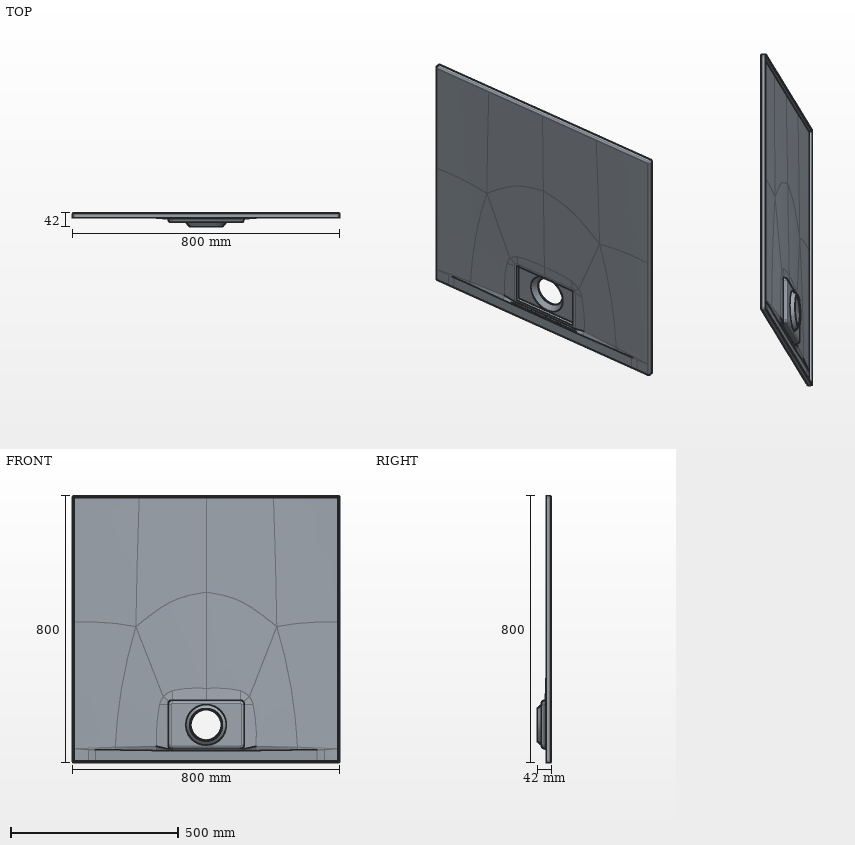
import cadquery as cq
import math


TRAY_SIZE = 800.0
RIM_DEPTH = 15.0
RIM_WIDTH = 6.0
RIM_LIP_WIDTH = 4.0
RIM_CORNER_RADIUS = 6.0
RIM_TOP_FILLET = 5.0
PAN_HALF = TRAY_SIZE / 2 - RIM_WIDTH

SHEET_THICKNESS = 6.0
EDGE_DEPTH = SHEET_THICKNESS
PAD_DEPTH = 15.5
SUMP_DEPTH = 18.0
CREASE_DEPTH = 10.5
BAND_DEPTH = 8.8
STEP_TOP_Z = -350.0
STEP_FOOT_Z = -361.0
PAD_STEP_FOOT_Z = -363.0
PAD_HALF_WIDTH = 149.0
CREASE_FOOT_X = 273.0
BAND_BEND_START_X = 332.0
BAND_BEND_END_X = 353.0

PLINTH_HALF_WIDTH = 114.0
PLINTH_TOP_Z = -212.0
PLINTH_BOTTOM_Z = -358.0
PLINTH_DEPTH = 29.0
PLINTH_CORNER_RADIUS = 12.0
PLINTH_DRAFT = 15.0
PLINTH_FILLET = 8.0
PLINTH_FLOOR = 6.0
WELL_INSET = 9.0

DRAIN_Z = -286.0
TOTAL_DEPTH = 42.0
DRAIN_TOP_RADIUS = 60.5
DRAIN_BOTTOM_RADIUS = 49.0
DRAIN_HOLE_RADIUS = 45.5
DRAIN_WALL = 6.0


def point(x, z, depth):
    """Point given by its place on the tray and its depth below the rim top."""
    return cq.Vector(x, -depth, z)


def band_point(x, z):
    """Point on the flat band, which falls from the bottom rim to the foot of the step."""
    share = (z + PAN_HALF) / (STEP_FOOT_Z + PAN_HALF)
    return point(x, z, EDGE_DEPTH + share * (BAND_DEPTH - EDGE_DEPTH))


def curve(*points):
    """Straight edge through two points, smooth spline through more."""
    if len(points) == 2:
        return cq.Edge.makeLine(*points)
    return cq.Edge.makeSpline(list(points))


def patch(*edges):
    """Smooth face stretched across a closed loop of edges."""
    return cq.Face.makeNSidedSurface(list(edges), [])


def underside_half():
    """Faces of the +X half of the pan underside, and the edges of its outer border."""
    top_mid = point(0, PAN_HALF, EDGE_DEPTH)
    top_quarter = point(201, PAN_HALF, EDGE_DEPTH)
    top_corner = point(PAN_HALF, PAN_HALF, EDGE_DEPTH)
    side = point(PAN_HALF, 22, EDGE_DEPTH)
    crown = point(0, 112, CREASE_DEPTH)
    junction = point(211, 9, 9.5)

    pad_top = point(0, -176, PAD_DEPTH)
    pad_shoulder = point(102, -183, PAD_DEPTH)
    pad_corner = point(129, -201, PAD_DEPTH)
    pad_side = point(140, -225, PAD_DEPTH)
    pad_foot = point(PAD_HALF_WIDTH, STEP_TOP_Z, PAD_DEPTH)
    bend = PLINTH_CORNER_RADIUS
    corner_inset = bend * (1 - 0.5**0.5)
    sump_top = point(0, PLINTH_TOP_Z, SUMP_DEPTH)
    sump_shoulder = point(PLINTH_HALF_WIDTH - bend, PLINTH_TOP_Z, SUMP_DEPTH)
    sump_corner = point(PLINTH_HALF_WIDTH - corner_inset, PLINTH_TOP_Z - corner_inset, SUMP_DEPTH)
    sump_side = point(PLINTH_HALF_WIDTH, PLINTH_TOP_Z - bend, SUMP_DEPTH)
    sump_foot = point(PLINTH_HALF_WIDTH, PLINTH_BOTTOM_Z, SUMP_DEPTH)
    sump_mid_foot = point(0, PLINTH_BOTTOM_Z, SUMP_DEPTH)

    step_quarter = point(CREASE_FOOT_X, -352, CREASE_DEPTH)
    step_end = point(PAN_HALF, -357, EDGE_DEPTH)
    foot_quarter = band_point(CREASE_FOOT_X, STEP_FOOT_Z)
    foot_pad = band_point(PAD_HALF_WIDTH, PAD_STEP_FOOT_Z)
    foot_sump = band_point(PLINTH_HALF_WIDTH, PAD_STEP_FOOT_Z)
    foot_mid = band_point(0, PAD_STEP_FOOT_Z)
    foot_inner = band_point(BAND_BEND_START_X, STEP_FOOT_Z)
    foot_outer = point(BAND_BEND_END_X, STEP_FOOT_Z + 1, 7.5)
    rim_mid = point(0, -PAN_HALF, EDGE_DEPTH)
    rim_inner = point(BAND_BEND_START_X, -PAN_HALF, EDGE_DEPTH)
    rim_outer = point(BAND_BEND_END_X, -PAN_HALF, EDGE_DEPTH)
    rim_corner = point(PAN_HALF, -PAN_HALF, EDGE_DEPTH)

    upper_center = curve(top_mid, crown)
    upper_crease = curve(top_quarter, point(207, 200, 7.8), junction)
    side_crease = curve(junction, point(290, 20, 8.0), side)
    crown_arc = curve(crown, point(57, 101, 10.4), point(102, 85, 10.1), point(161, 48, 9.8), junction)
    lower_center = curve(crown, pad_top)
    pad_crease = curve(junction, pad_corner)
    lower_crease = curve(junction, point(252, -165, 10.0), step_quarter)

    pad_upper = curve(pad_top, point(64, -177, PAD_DEPTH), pad_shoulder)
    pad_bend_upper = curve(pad_shoulder, point(117, -191, PAD_DEPTH), pad_corner)
    pad_bend_lower = curve(pad_corner, point(135.5, -212, PAD_DEPTH), pad_side)
    pad_flank = curve(pad_side, point(PAD_HALF_WIDTH - 2, -270, PAD_DEPTH), pad_foot)
    spoke_top = curve(pad_top, sump_top)
    spoke_shoulder = curve(pad_shoulder, sump_shoulder)
    spoke_corner = curve(pad_corner, sump_corner)
    spoke_side = curve(pad_side, sump_side)
    sump_upper = curve(sump_top, sump_shoulder)
    sump_bend_upper = curve(sump_shoulder, sump_corner)
    sump_bend_lower = curve(sump_corner, sump_side)
    sump_flank = curve(sump_side, sump_foot)
    sump_center = curve(sump_top, sump_mid_foot)

    step_outer = curve(step_end, step_quarter)
    step_middle = curve(step_quarter, pad_foot)
    step_pad = curve(pad_foot, sump_foot)
    step_sump = curve(sump_foot, sump_mid_foot)
    step_rib = curve(step_quarter, foot_quarter)
    foot_under_sump = curve(foot_mid, foot_sump)
    foot_under_pad = curve(foot_sump, foot_pad)
    foot_middle = curve(foot_pad, foot_quarter)
    foot_outside = curve(foot_quarter, foot_inner)
    foot_bend = curve(foot_inner, foot_outer)
    foot_end = curve(foot_outer, step_end)
    band_center = curve(foot_mid, rim_mid)
    band_inner = curve(foot_inner, rim_inner)
    band_outer = curve(foot_outer, rim_outer)

    border_top_inner = curve(top_mid, top_quarter)
    border_top_outer = curve(top_quarter, top_corner)
    border_side_upper = curve(top_corner, side)
    border_side_lower = curve(side, step_end)
    border_side_band = curve(step_end, rim_corner)
    border_rim_outer = curve(rim_corner, rim_outer)
    border_rim_bend = curve(rim_outer, rim_inner)
    border_rim_inner = curve(rim_inner, rim_mid)

    band_edges = [
        foot_under_sump,
        foot_under_pad,
        foot_middle,
        foot_outside,
        band_inner,
        border_rim_inner,
        band_center,
    ]
    faces = [
        patch(border_top_inner, upper_crease, crown_arc, upper_center),
        patch(border_top_outer, border_side_upper, side_crease, upper_crease),
        patch(crown_arc, pad_crease, pad_bend_upper, pad_upper, lower_center),
        patch(pad_crease, lower_crease, step_middle, pad_flank, pad_bend_lower),
        patch(side_crease, border_side_lower, step_outer, lower_crease),
        patch(pad_upper, spoke_shoulder, sump_upper, spoke_top),
        patch(pad_bend_upper, spoke_corner, sump_bend_upper, spoke_shoulder),
        patch(pad_bend_lower, spoke_side, sump_bend_lower, spoke_corner),
        patch(pad_flank, step_pad, sump_flank, spoke_side),
        patch(sump_upper, sump_bend_upper, sump_bend_lower, sump_flank, step_sump, sump_center),
        cq.Face.makeRuledSurface(step_sump, curve(foot_sump, foot_mid)),
        cq.Face.makeRuledSurface(step_pad, curve(foot_pad, foot_sump)),
        cq.Face.makeRuledSurface(step_middle, curve(foot_quarter, foot_pad)),
        patch(step_outer, step_rib, foot_outside, foot_bend, foot_end),
        cq.Face.makeFromWires(cq.Wire.assembleEdges(band_edges)),
        patch(foot_bend, band_outer, border_rim_bend, band_inner),
        cq.Face.makeRuledSurface(foot_end, curve(rim_outer, rim_corner)),
    ]
    border = [
        border_top_inner,
        border_top_outer,
        border_side_upper,
        border_side_lower,
        border_side_band,
        border_rim_outer,
        border_rim_bend,
        border_rim_inner,
    ]
    return faces, border


def make_pan():
    """Sheet of constant thickness along Y between the underside and its copy."""
    half_faces, half_border = underside_half()
    underside = half_faces + [face.mirror("YZ") for face in half_faces]
    border = half_border + [edge.mirror("YZ") for edge in half_border]
    lift = cq.Vector(0, SHEET_THICKNESS, 0)
    standing_surface = [face.translate(lift) for face in underside]
    walls = [cq.Face.makeRuledSurface(edge, edge.translate(lift)) for edge in border]
    shell = cq.Shell.makeShell(underside + standing_surface + walls)
    return cq.Workplane(cq.Solid.makeSolid(shell))


def plane_at_depth(depth, z=0.0):
    """Workplane at the given depth; extrusion from it goes further down, toward -Y."""
    return cq.Workplane("XZ", origin=(0, -depth, z))


def make_rim():
    """Frame around the pan, rounded at the top, with a lip that thins downward."""
    outer = plane_at_depth(0).rect(TRAY_SIZE, TRAY_SIZE).extrude(RIM_DEPTH)
    outer = outer.edges("|Y").fillet(RIM_CORNER_RADIUS)
    outer = outer.faces(">Y").edges().fillet(RIM_TOP_FILLET)
    opening = plane_at_depth(0).rect(2 * PAN_HALF, 2 * PAN_HALF).extrude(EDGE_DEPTH)
    lip_height = RIM_DEPTH - EDGE_DEPTH
    flare = math.degrees(math.atan2(RIM_WIDTH - RIM_LIP_WIDTH, lip_height))
    flared = plane_at_depth(EDGE_DEPTH).rect(2 * PAN_HALF, 2 * PAN_HALF).extrude(lip_height, taper=-flare)
    return outer.cut(opening).cut(flared)


def plinth_block(top_depth, bottom_depth, inset, draft=0.0):
    """Rounded block of the sump, moved in from its outline by the inset."""
    width = 2 * (PLINTH_HALF_WIDTH - inset)
    height = PLINTH_TOP_Z - PLINTH_BOTTOM_Z - 2 * inset
    middle_z = (PLINTH_TOP_Z + PLINTH_BOTTOM_Z) / 2
    outline = cq.Sketch().rect(width, height).vertices().fillet(PLINTH_CORNER_RADIUS - inset)
    base = plane_at_depth(top_depth, middle_z).placeSketch(outline)
    return base.extrude(bottom_depth - top_depth, taper=draft)


def drain_cone(top_depth, top_radius, bottom_depth, bottom_radius):
    """Cone on the drain axis between two depths."""
    cone = cq.Solid.makeCone(
        top_radius,
        bottom_radius,
        bottom_depth - top_depth,
        cq.Vector(0, -top_depth, DRAIN_Z),
        cq.Vector(0, -1, 0),
    )
    return cq.Workplane(cone)


def make_sump():
    """Solid plinth with the drain cone below it."""
    root = plinth_block(SUMP_DEPTH - SHEET_THICKNESS, SUMP_DEPTH, 0.0)
    plinth = plinth_block(SUMP_DEPTH, PLINTH_DEPTH, 0.0, PLINTH_DRAFT)
    plinth = plinth.faces("<Y").edges().fillet(PLINTH_FILLET)
    cone = drain_cone(PLINTH_DEPTH, DRAIN_TOP_RADIUS, TOTAL_DEPTH, DRAIN_BOTTOM_RADIUS)
    return root.union(plinth).union(cone)


def make_sump_cavity():
    """Open inside of the sump, from above the sheet through the drain hole."""
    floor_depth = PLINTH_DEPTH - PLINTH_FLOOR
    well = plinth_block(0.0, floor_depth, WELL_INSET)
    slope = (DRAIN_TOP_RADIUS - DRAIN_BOTTOM_RADIUS) / (TOTAL_DEPTH - PLINTH_DEPTH)
    lip_height = (DRAIN_HOLE_RADIUS - DRAIN_BOTTOM_RADIUS + DRAIN_WALL) / slope
    lip_depth = TOTAL_DEPTH - lip_height
    funnel_radius = DRAIN_HOLE_RADIUS + slope * (lip_depth - floor_depth)
    funnel = drain_cone(floor_depth, funnel_radius, lip_depth, DRAIN_HOLE_RADIUS)
    hole = plane_at_depth(lip_depth, DRAIN_Z).circle(DRAIN_HOLE_RADIUS).extrude(lip_height)
    return well.union(funnel).union(hole)


result = make_pan().union(make_rim()).union(make_sump()).cut(make_sump_cavity())